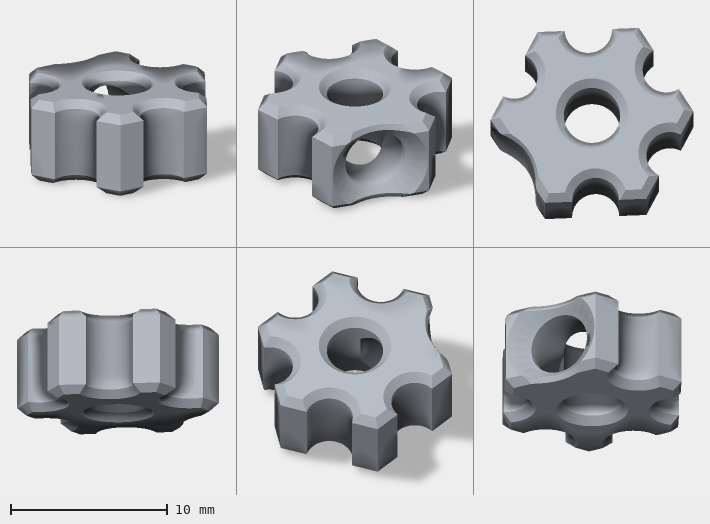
import cadquery as cq

ACROSS_POINTS = 12.93
HEIGHT = 5.5
EDGE_CHAMFER = 0.5
BORE_DIAMETER = 3.6
NOTCH_RADIUS = 1.5
SIDE_HOLE_DIAMETER = 4.0
SIDE_HOLE_DEPTH = 4.86
COUNTERSINK_DIAMETER = 6.31

SIDES = 6
FLAT_ANGLE = 360 / SIDES
SIDE_HOLE_FLAT = SIDES // 2


def hexagonal_body():
    return (
        cq.Workplane("XY")
        .polygon(SIDES, ACROSS_POINTS)
        .extrude(HEIGHT)
        .rotate((0, 0, 0), (0, 0, 1), FLAT_ANGLE / 2)
    )


def finger_notch(apothem, flat):
    """Half-round vertical notch centred on one flat."""
    notch = cq.Workplane("XY").center(apothem, 0).circle(NOTCH_RADIUS).extrude(HEIGHT)
    return notch.rotate((0, 0, 0), (0, 0, 1), flat * FLAT_ANGLE)


def side_hole(apothem):
    """Flat-bottomed hole from the -X flat into the bore, with a 90 degree countersink."""
    hole_radius = SIDE_HOLE_DIAMETER / 2
    mouth_radius = COUNTERSINK_DIAMETER / 2
    sink_depth = mouth_radius - hole_radius
    floor = SIDE_HOLE_DEPTH - apothem
    half_section = [
        (-apothem, 0),
        (-apothem, mouth_radius),
        (-apothem + sink_depth, hole_radius),
        (floor, hole_radius),
        (floor, 0),
    ]
    cutter = cq.Workplane("XY").polyline(half_section).close().revolve(360, (0, 0), (1, 0))
    return cutter.translate((0, 0, HEIGHT / 2))


body = hexagonal_body()
flat_distance = body.val().BoundingBox().xmax

for flat in range(SIDES):
    if flat != SIDE_HOLE_FLAT:
        body = body.cut(finger_notch(flat_distance, flat))

body = body.cut(side_hole(flat_distance))
bore = cq.Workplane("XY").circle(BORE_DIAMETER / 2).extrude(HEIGHT)
body = body.cut(bore)

result = body.faces("<Z or >Z").edges().chamfer(EDGE_CHAMFER)